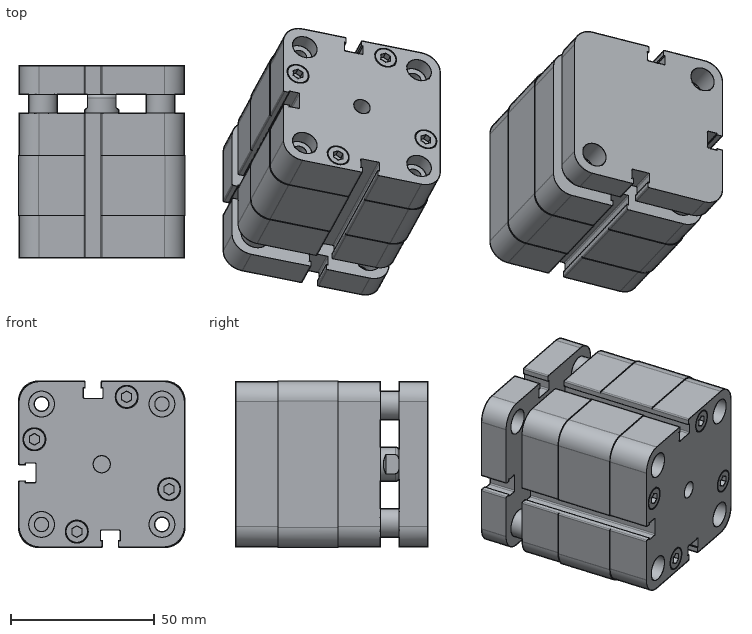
import cadquery as cq
import math

cap_length = 14.75
barrel_length = 21.0
gap_length = 6.5
plate_thickness = 10.0
body_length = 2 * cap_length + barrel_length
plate_front = body_length + gap_length

barrel_width = 58.1
cap_width = 57.6
corner_radius = 7.0

slot_offset = -3.0
slot_neck_width = 5.6
slot_pocket_width = 6.8
slot_lip = 26.65
slot_floor = 22.95
slot_rounding = 0.4
slot_overrun = 1.0
slot_angles = (0, 90, 180)

hole_pitch = 42.0
counterbore_diameter = 9.0
counterbore_depth = 5.5
hole_diameter = 5.0
pin_diameter = 10.0
pin_pitch = 41.0
plate_hole_diameter = 9.0

port_diameter = 6.0
port_depth = 10.0

screw_count = 4
screw_x = 8.7
screw_z = 23.5
screw_recess_diameter = 8.0
screw_head_diameter = 7.5
screw_recess_depth = 5.0
socket_flats = 3.5
socket_depth = 2.5

rod_diameter = 12.0
rod_flats = 10.0
flat_length = 4.6
flat_runout = 0.9
rod_end_length = 1.3
rod_end_drop = 0.9


def square_block(width, start, length):
    """Square prism along Y with rounded long edges."""
    block = cq.Workplane("XY").box(width, length, width, centered=(True, False, True))
    return block.edges("|Y").fillet(corner_radius).translate((0, start, 0))


def cylinder(diameter, start, length, x=0, z=0):
    """Cylinder along +Y."""
    origin = cq.Vector(x, start, z)
    return cq.Workplane(cq.Solid.makeCylinder(diameter / 2, length, origin, cq.Vector(0, 1, 0)))


def slot_cutter(width, start, length):
    """T-shaped slot in the top side of a block of the given width."""
    top = width / 2
    neck = slot_neck_width / 2
    pocket = slot_pocket_width / 2
    mouth = neck + slot_rounding
    arc_middle = slot_rounding * (1 - math.sqrt(0.5))
    return (
        cq.Workplane("XZ", origin=(slot_offset, start, 0))
        .moveTo(0, slot_floor)
        .lineTo(pocket - slot_rounding, slot_floor)
        .threePointArc((pocket - arc_middle, slot_floor + arc_middle), (pocket, slot_floor + slot_rounding))
        .lineTo(pocket, slot_lip)
        .lineTo(neck, slot_lip)
        .lineTo(neck, top - slot_rounding)
        .threePointArc((neck + arc_middle, top - arc_middle), (mouth, top))
        .lineTo(mouth, top + slot_overrun)
        .lineTo(0, top + slot_overrun)
        .mirrorY()
        .extrude(-length)
    )


def slotted_block(width, start, length):
    """Rounded square block with slots on its top, -X and bottom sides."""
    block = square_block(width, start, length)
    cutter = slot_cutter(width, start, length)
    for angle in slot_angles:
        block = block.cut(cutter.rotate((0, 0, 0), (0, 1, 0), -angle))
    return block


def cut_screws(part):
    """Cut the clearance ring around each screw head and the hexagon socket in it."""
    ring = cylinder(screw_recess_diameter, 0, screw_recess_depth)
    ring = ring.cut(cylinder(screw_head_diameter, 0, screw_recess_depth))
    socket = (
        cq.Workplane("XZ")
        .polygon(6, socket_flats / math.cos(math.pi / 6))
        .extrude(-socket_depth)
        .rotate((0, 0, 0), (0, 1, 0), 90)
    )
    x, z = screw_x, screw_z
    for _ in range(screw_count):
        part = part.cut(ring.translate((x, 0, z)))
        part = part.cut(socket.translate((x, 0, z)))
        x, z = z, -x
    return part


def piston_rod():
    """Rod from body to end plate with a rounded end and two flats."""
    radius = rod_diameter / 2
    end_radius = radius - rod_end_drop
    rounding = (rod_end_length ** 2 + rod_end_drop ** 2) / (2 * rod_end_drop)
    half_angle = math.asin(rod_end_length / rounding) / 2
    middle = (
        radius - rounding * (1 - math.cos(half_angle)),
        plate_front - rod_end_length + rounding * math.sin(half_angle),
    )
    rod = (
        cq.Workplane("XY")
        .moveTo(0, body_length)
        .lineTo(radius, body_length)
        .lineTo(radius, plate_front - rod_end_length)
        .threePointArc(middle, (end_radius, plate_front))
        .lineTo(0, plate_front)
        .close()
        .revolve(360, (0, 0, 0), (0, 1, 0))
    )
    flat = rod_flats / 2
    flat_start = plate_front - flat_length
    cutter = (
        cq.Workplane("XY")
        .polyline([
            (flat, plate_front),
            (flat, flat_start),
            (radius, flat_start - flat_runout),
            (radius, plate_front),
        ])
        .close()
        .extrude(radius, both=True)
    )
    return rod.cut(cutter).cut(cutter.mirror("YZ"))


def add_guide_pins(part):
    """Two pins on one diagonal, bridging the gap between body and end plate."""
    for pin in (-pin_pitch / 2, pin_pitch / 2):
        part = part.union(cylinder(pin_diameter, body_length, gap_length, pin, pin))
    return part


def cut_corner_holes(part):
    """Counterbored holes through the body, continued through the plate where there is no pin."""
    half_pitch = hole_pitch / 2
    for x in (-half_pitch, half_pitch):
        for z in (-half_pitch, half_pitch):
            part = part.cut(cylinder(counterbore_diameter, 0, counterbore_depth, x, z))
            part = part.cut(cylinder(hole_diameter, 0, body_length, x, z))
        part = part.cut(cylinder(plate_hole_diameter, plate_front, plate_thickness, x, -x))
    return part


result = slotted_block(cap_width, 0, cap_length)
result = result.union(slotted_block(barrel_width, cap_length, barrel_length))
result = result.union(slotted_block(cap_width, cap_length + barrel_length, cap_length))
result = result.union(slotted_block(cap_width, plate_front, plate_thickness))
result = result.union(piston_rod())
result = add_guide_pins(result)
result = cut_corner_holes(result)
result = result.cut(cylinder(port_diameter, 0, port_depth))
result = cut_screws(result)